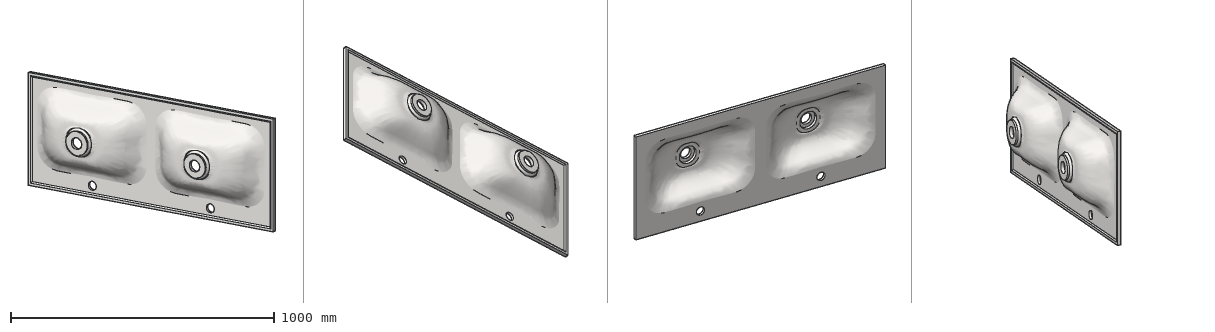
import cadquery as cq
import math


slab_length = 1100.0
slab_height = 450.0
slab_thickness = 15.0
rim_width = 10.5
panel_recess = 4.0
recess_wall_width = 6.0
panel_thickness = slab_thickness - panel_recess

overall_depth = 124.0
basin_spacing = 530.0
basin_center_z = 19.0
tap_center_z = -180.0
tap_hole_diameter = 35.0
basin_centers_x = (-basin_spacing / 2, basin_spacing / 2)

rim_embed = 1.0
basin_stations = (
    (panel_thickness - rim_embed, 250.0, 169.0, 88.0),
    (panel_thickness + rim_embed, 241.0, 160.0, 84.0),
    (16.0, 227.0, 147.0, 80.0),
    (40.0, 200.0, 128.0, 80.0),
    (70.0, 171.0, 113.0, 80.0),
    (90.0, 137.0, 96.0, 76.0),
    (101.0, 103.0, 77.0, 68.0),
    (107.0, 57.0, 56.0, 49.0),
)
corner_steps = 4
floor_depth = basin_stations[-1][0]

wall_offset_depth = panel_thickness
wall_offset_side = 5.0

boss_diameter = 96.0
boss_flare = 9.0
flare_overlap = 3.0
drain_hole_diameter = 46.0
drain_floor_thickness = 14.0
drain_well_diameter = boss_diameter - 2 * panel_thickness


def plane_at(depth, x=0.0, z=0.0):
    """Workplane at a depth below Y = 0, with its normal along -Y."""
    return cq.Workplane("XZ", origin=(x, -depth, z))


def cylinder(center_x, center_z, diameter, start_depth, end_depth):
    """Cylinder along Y between two depths."""
    base = plane_at(start_depth, center_x, center_z)
    return base.circle(diameter / 2).extrude(end_depth - start_depth)


def half_outline(half_length, half_height, corner_radius):
    """Points of the upper half of a rounded rectangle, from its +X end to its -X end."""
    arc_center_x = half_length - corner_radius
    arc_center_z = half_height - corner_radius
    right_half = [(half_length, 0), (half_length, arc_center_z / 2)]
    for step in range(corner_steps + 1):
        angle = math.pi / 2 * step / corner_steps
        x = arc_center_x + corner_radius * math.cos(angle)
        z = arc_center_z + corner_radius * math.sin(angle)
        right_half.append((x, z))
    right_half.append((arc_center_x / 2, half_height))
    left_half = [(-x, z) for x, z in reversed(right_half)]
    return right_half + left_half


def basin_section(center_x, station, depth_offset, side_offset):
    """Closed outline at one basin station: two smooth halves that meet on the horizontal centre line."""
    depth = station[0] - depth_offset
    points = half_outline(*[size - side_offset for size in station[1:]])
    plane = plane_at(depth, center_x, basin_center_z)
    halves = []
    for side in (1, -1):
        half = [(x, side * z) for x, z in points]
        halves.append(plane.spline(half, tangents=[(0, side), (0, -side)]).val())
    return cq.Wire.assembleEdges(halves)


def basin_body(center_x, depth_offset=0.0, side_offset=0.0):
    """Smooth solid through all the basin stations."""
    sections = [basin_section(center_x, station, depth_offset, side_offset) for station in basin_stations]
    return cq.Workplane(cq.Solid.makeLoft(sections))


def drain_boss(center_x):
    """Drain boss with a concave flare where it meets the basin floor."""
    boss = cylinder(center_x, basin_center_z, boss_diameter, floor_depth, overall_depth)
    boss_radius = boss_diameter / 2
    flare = (
        cq.Workplane("XY", origin=(center_x, 0, basin_center_z))
        .moveTo(0, -floor_depth + flare_overlap)
        .lineTo(boss_radius + boss_flare, -floor_depth + flare_overlap)
        .lineTo(boss_radius + boss_flare, -floor_depth)
        .radiusArc((boss_radius, -floor_depth - boss_flare), boss_flare)
        .lineTo(0, -floor_depth - boss_flare)
        .close()
        .revolve(360, (0, 0, 0), (0, 1, 0))
    )
    return boss.union(flare)


def slab():
    """Flat slab with a raised rim around a recessed panel; the recess wall slopes."""
    body = plane_at(0).rect(slab_length, slab_height).extrude(slab_thickness)
    floor_margin = 2 * (rim_width + recess_wall_width)
    recess = (
        plane_at(slab_thickness)
        .rect(slab_length - 2 * rim_width, slab_height - 2 * rim_width)
        .workplane(offset=-panel_recess)
        .rect(slab_length - floor_margin, slab_height - floor_margin)
        .loft(ruled=True)
    )
    return body.cut(recess)


result = slab()
for x in basin_centers_x:
    result = result.union(basin_body(x)).union(drain_boss(x))
for x in basin_centers_x:
    result = result.cut(basin_body(x, wall_offset_depth, wall_offset_side))
    result = result.cut(cylinder(x, basin_center_z, drain_well_diameter, 0, overall_depth - drain_floor_thickness))
    result = result.cut(cylinder(x, basin_center_z, drain_hole_diameter, 0, overall_depth))
    result = result.cut(cylinder(x, tap_center_z, tap_hole_diameter, 0, slab_thickness))